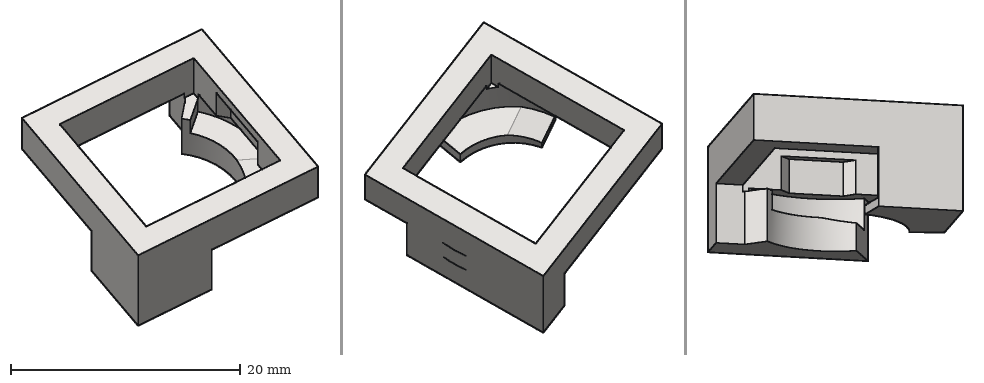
import cadquery as cq
import math

side = 18.7
half_side = side / 2
height = 9.52
opening = 13.91
frame_bottom = 5.35
opening_bottom = 4.77

cavity_radius = 9.33
ramp_length = 3.0
ramp_drop = 0.52

front_leg_start = -79.0
front_leg_end = -10.2
front_lip_radius = 6.43
front_lip_height = 1.35

rear_leg_start = 62.0
rear_step_angle = 132.0
rear_leg_end = 138.6
rear_lip_radius = 6.79
rear_lip_height = 3.01
corner_block_x = 2.55
corner_block_y = 3.37

recess_half_width = 3.33
recess_depth = 0.92
recess_top = 8.42


def sector(start, end, depth):
    """Wedge about the Z axis, reaching past the corners of the frame."""
    reach = 2 * side
    angles = [math.radians(a) for a in (start, (start + end) / 2, end)]
    rim = [(reach * math.cos(a), reach * math.sin(a)) for a in angles]
    return cq.Workplane("XY").polyline([(0, 0)] + rim).close().extrude(depth)


def leg_wall(start, end):
    """Part of the square outline lying outside the round cavity."""
    block = cq.Workplane("XY").rect(side, side).circle(cavity_radius).extrude(frame_bottom)
    return block.intersect(sector(start, end, frame_bottom))


def lip(start, end, inner_radius, lip_height):
    """Flat ledge inside the cavity wall."""
    ring = cq.Workplane("XY").circle(cavity_radius).circle(inner_radius).extrude(lip_height)
    return ring.intersect(sector(start, end, lip_height))


def ramp_cut(start, lip_height):
    """Wedge that slopes the top of a lip down towards its starting end."""
    angle = math.radians(start)
    along_ramp = (-math.sin(angle), math.cos(angle), 0)
    inward = (-math.cos(angle), -math.sin(angle), 0)
    plane = cq.Plane(origin=(0, 0, lip_height), xDir=along_ramp, normal=inward)
    profile = cq.Workplane(plane).polyline([(0, 0), (ramp_length, 0), (0, ramp_drop)]).close()
    return profile.extrude(-side)


def front_leg():
    ledge = lip(front_leg_start, front_leg_end, front_lip_radius, front_lip_height)
    ledge = ledge.cut(ramp_cut(front_leg_start, front_lip_height))
    return leg_wall(front_leg_start, front_leg_end).union(ledge)


def rear_leg():
    ledge = lip(rear_leg_start, rear_step_angle, rear_lip_radius, rear_lip_height)
    ledge = ledge.cut(ramp_cut(rear_leg_start, rear_lip_height))
    end_step = lip(rear_step_angle, rear_leg_end, rear_lip_radius, opening_bottom)
    corner_block = (
        cq.Workplane("XY")
        .box(corner_block_x, corner_block_y, frame_bottom, centered=False)
        .translate((-half_side, half_side - corner_block_y, 0))
    )
    wall = leg_wall(rear_leg_start, rear_step_angle)
    wall = wall.union(leg_wall(rear_step_angle, rear_leg_end))
    return wall.union(corner_block).union(ledge).union(end_step)


def rear_recess():
    """Recess with 45 degree ends, open at the bottom of the frame."""
    face = opening / 2
    back = face + recess_depth
    back_half_width = recess_half_width - recess_depth
    outline = [
        (-recess_half_width, face),
        (-back_half_width, back),
        (back_half_width, back),
        (recess_half_width, face),
    ]
    profile = cq.Workplane("XY").workplane(offset=frame_bottom).polyline(outline).close()
    return profile.extrude(recess_top - frame_bottom)


frame = cq.Workplane("XY").workplane(offset=frame_bottom).rect(side, side).extrude(height - frame_bottom)
square_opening = (
    cq.Workplane("XY").workplane(offset=opening_bottom).rect(opening, opening).extrude(height - opening_bottom)
)

result = frame.union(front_leg()).union(rear_leg()).cut(square_opening).cut(rear_recess())